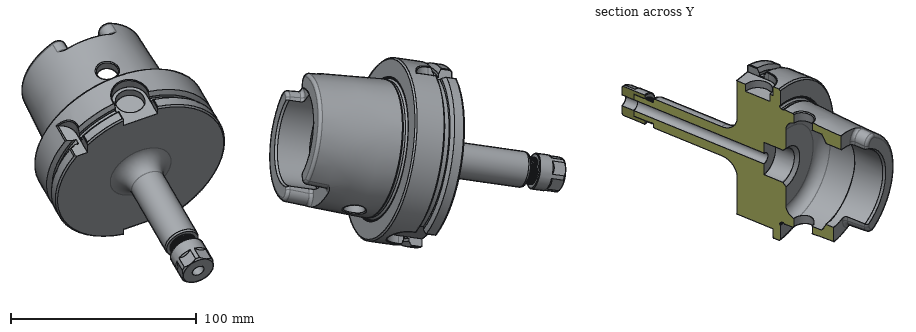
import cadquery as cq
import math

TOTAL_LENGTH = 155

TOLERANCE = 0.02

SHANK_LENGTH = 50.0
SHANK_END_RADIUS = 35.3
SHANK_BASE_RADIUS = 37.8
SHANK_END_ROUNDING = 1.9

RELIEF_LENGTH = 2.6
RELIEF_RADIUS = 37.4
RELIEF_FLOOR_START_X = -1.9
RELIEF_FLOOR_END_X = -0.6
FACE_RECESS_RADIUS = 39.5
FACE_RECESS_DEPTH = 0.5

FLANGE_RADIUS = 100.0 / 2
FLANGE_WIDTH = 29.0
FLANGE_CHAMFER = 1.0
GROOVE_CENTER_X = 19.7
GROOVE_FLOOR_RADIUS = 91.8 / 2
GROOVE_FLOOR_WIDTH = 3.1
GROOVE_TOP_WIDTH = 6.2
GROOVE_BEVEL_RADIUS = 47.5

NECK_RADIUS = 19.5 / 2
NECK_END_X = 84.2
NECK_FILLET_RADIUS = 9.9
NECK_FILLET_END_X = 38.8
NECK_CHAMFER_LENGTH = 1.2
NECK_CHAMFER_HEIGHT = 0.5
THREAD_CREST_RADIUS = 14.9 / 2
THREAD_ROOT_RADIUS = 13.8 / 2
THREAD_PITCH = 0.8
NOSE_END_X = 97.0

BORE_RADIUS = 53.0 / 2
BORE_CHAMFER = 0.8
BORE_CHAMFER_LENGTH = 1.4
BORE_LENGTH = 20.0
CHAMBER_RADIUS = 31.5
CHAMBER_END_X = -3.7
CHAMBER_FILLET = 6.5
SHOULDER_ANGLE = 60
SEAT_RADIUS = 21.0 / 2
SEAT_MOUTH_RADIUS = 25.1 / 2
SEAT_END_X = 10.8
COOLANT_RADIUS = 6.8 / 2

ACCESS_RADIUS = 12.0 / 2
ACCESS_X = -14.9
ACCESS_CHAMFER = 0.6

SLOT_WIDTH = 20.0
UPPER_SLOT_DEPTH = 9.9
LOWER_SLOT_DEPTH = 14.9
SLOT_CORNER_RADIUS = 5.0
SLOT_FLOOR_FILLET = 1.9

CUTTER_RADIUS = SLOT_WIDTH / 2
KEYWAY_CENTER_X = 15.0
KEYWAY_FLOOR_Z = 44.0
POCKET_CHAMFER = 0.5
CHIP_HOLE_RADIUS = 16.0 / 2
CHIP_HOLE_DEPTH = 4.6
NOTCH_WALL_Y = -31.3
NOTCH_FLOOR_Z = 31.6

NUT_START_X = 89.5
NUT_END_X = TOTAL_LENGTH - SHANK_LENGTH
NUT_RADIUS = NECK_RADIUS
NUT_START_CHAMFER = 0.5
NUT_END_CHAMFER = 1.0
HEX_START_X = 97.0
HEX_ACROSS_FLATS = 18.0
HEX_SIDES = 6
HEX_SHOULDER_ANGLE = 35


def turned(outline):
    """Solid of revolution about X from an outline of (x, radius) on the XY plane."""
    return outline.close().revolve(360, (0, 0, 0), (1, 0, 0))


def rod(start_x, end_x, radius):
    """Cylinder along the X axis."""
    return cq.Workplane("YZ", origin=(start_x, 0, 0)).circle(radius).extrude(end_x - start_x)


def half_turn(cutter):
    """The same cutter at the opposite side of the X axis."""
    return cutter.rotate((0, 0, 0), (1, 0, 0), 180)


def turned_body():
    """Outside of the holder from shank end to threaded nose."""
    fillet_angle = math.asin((NECK_FILLET_END_X - FLANGE_WIDTH) / NECK_FILLET_RADIUS)
    fillet_center_r = NECK_RADIUS + NECK_FILLET_RADIUS

    def fillet_point(angle):
        return (
            NECK_FILLET_END_X - NECK_FILLET_RADIUS * math.sin(angle),
            fillet_center_r - NECK_FILLET_RADIUS * math.cos(angle),
        )

    outline = (
        cq.Workplane("XY")
        .moveTo(-SHANK_LENGTH, 0)
        .lineTo(-SHANK_LENGTH, SHANK_END_RADIUS)
        .lineTo(-RELIEF_LENGTH, SHANK_BASE_RADIUS)
        .lineTo(RELIEF_FLOOR_START_X, RELIEF_RADIUS)
        .lineTo(RELIEF_FLOOR_END_X, RELIEF_RADIUS)
        .lineTo(FACE_RECESS_DEPTH, RELIEF_RADIUS + FACE_RECESS_DEPTH - RELIEF_FLOOR_END_X)
        .lineTo(FACE_RECESS_DEPTH, FACE_RECESS_RADIUS - FACE_RECESS_DEPTH)
        .lineTo(0, FACE_RECESS_RADIUS)
        .lineTo(0, FLANGE_RADIUS - FLANGE_CHAMFER)
        .lineTo(FLANGE_CHAMFER, FLANGE_RADIUS)
        .lineTo(FLANGE_WIDTH - FLANGE_CHAMFER, FLANGE_RADIUS)
        .lineTo(FLANGE_WIDTH, FLANGE_RADIUS - FLANGE_CHAMFER)
        .lineTo(*fillet_point(fillet_angle))
        .threePointArc(fillet_point(fillet_angle / 2), fillet_point(0))
        .lineTo(NECK_END_X - NECK_CHAMFER_LENGTH, NECK_RADIUS)
        .lineTo(NECK_END_X, NECK_RADIUS - NECK_CHAMFER_HEIGHT)
        .lineTo(NECK_END_X, THREAD_CREST_RADIUS)
        .lineTo(NOSE_END_X, THREAD_CREST_RADIUS)
        .lineTo(NOSE_END_X, 0)
    )
    return turned(outline)


def gripper_groove():
    """Ring cutter: straight-sided floor that opens into bevels at the rim."""
    floor_half = GROOVE_FLOOR_WIDTH / 2
    top_half = GROOVE_TOP_WIDTH / 2
    outline = (
        cq.Workplane("XY")
        .moveTo(GROOVE_CENTER_X - floor_half, GROOVE_FLOOR_RADIUS)
        .lineTo(GROOVE_CENTER_X - floor_half, GROOVE_BEVEL_RADIUS)
        .lineTo(GROOVE_CENTER_X - top_half, FLANGE_RADIUS)
        .lineTo(GROOVE_CENTER_X + top_half, FLANGE_RADIUS)
        .lineTo(GROOVE_CENTER_X + floor_half, GROOVE_BEVEL_RADIUS)
        .lineTo(GROOVE_CENTER_X + floor_half, GROOVE_FLOOR_RADIUS)
    )
    return turned(outline)


def clamping_bore():
    """Bore, wider clamping chamber behind it, coolant seat and coolant hole as one cutter."""
    shank_end_x = -SHANK_LENGTH
    shoulder_x = shank_end_x + BORE_LENGTH
    shoulder_length = (CHAMBER_RADIUS - BORE_RADIUS) / math.tan(math.radians(SHOULDER_ANGLE))
    fillet_center = (CHAMBER_END_X - CHAMBER_FILLET, CHAMBER_RADIUS - CHAMBER_FILLET)
    fillet_middle = CHAMBER_FILLET * math.sqrt(0.5)
    outline = (
        cq.Workplane("XY")
        .moveTo(shank_end_x, 0)
        .lineTo(shank_end_x, BORE_RADIUS + BORE_CHAMFER)
        .lineTo(shank_end_x + BORE_CHAMFER_LENGTH, BORE_RADIUS)
        .lineTo(shoulder_x, BORE_RADIUS)
        .lineTo(shoulder_x + shoulder_length, CHAMBER_RADIUS)
        .lineTo(fillet_center[0], CHAMBER_RADIUS)
        .threePointArc(
            (fillet_center[0] + fillet_middle, fillet_center[1] + fillet_middle),
            (CHAMBER_END_X, fillet_center[1]),
        )
        .lineTo(CHAMBER_END_X, SEAT_MOUTH_RADIUS)
        .lineTo(CHAMBER_END_X + SEAT_MOUTH_RADIUS - SEAT_RADIUS, SEAT_RADIUS)
        .lineTo(SEAT_END_X, SEAT_RADIUS)
        .lineTo(SEAT_END_X, COOLANT_RADIUS)
        .lineTo(NOSE_END_X, COOLANT_RADIUS)
        .lineTo(NOSE_END_X, 0)
    )
    return turned(outline)


def driving_slot(depth):
    """Slot cutter at the +Z side of the shank end."""
    base = cq.Workplane("XY", origin=(-SHANK_LENGTH, 0, 0))
    return base.box(depth, SLOT_WIDTH, FLANGE_RADIUS, centered=(False, True, False))


def centers_within(low, high):
    """Selector for edges whose centres lie in the box between two corners."""
    return cq.selectors.BoxSelector(low, high)


def cut_slot(shank, depth, side):
    """Mill a driving slot on the +Z side (side = 1) or -Z side (side = -1) and round its edges."""
    slot = driving_slot(depth)
    if side < 0:
        slot = half_turn(slot)
    shank = shank.cut(slot)
    floor_x = -SHANK_LENGTH + depth
    corner_z = side * SHANK_BASE_RADIUS
    wall_top_z = side * (SHANK_END_RADIUS - SLOT_CORNER_RADIUS / 2)
    corners = centers_within(
        (-SHANK_LENGTH + TOLERANCE, -SLOT_WIDTH, wall_top_z),
        (floor_x - TOLERANCE, SLOT_WIDTH, corner_z),
    )
    shank = shank.edges(corners).fillet(SLOT_CORNER_RADIUS)
    for wall_side in (-1, 1):
        wall_foot = centers_within(
            (floor_x - TOLERANCE, wall_side * TOLERANCE, side * TOLERANCE),
            (floor_x + TOLERANCE, wall_side * SLOT_WIDTH, wall_top_z),
        )
        shank = shank.edges(wall_foot).fillet(SLOT_FLOOR_FILLET)
    return shank


def keyway():
    """Round-ended keyway cutter at the +Z side of the flange, open at the +X face."""
    plate_height = FLANGE_RADIUS - KEYWAY_FLOOR_Z
    base = cq.Workplane("XY", origin=(0, 0, KEYWAY_FLOOR_Z))
    round_end = base.center(KEYWAY_CENTER_X, 0).circle(CUTTER_RADIUS).extrude(plate_height)
    length = FLANGE_WIDTH - KEYWAY_CENTER_X
    passage = base.center(KEYWAY_CENTER_X, -CUTTER_RADIUS).rect(length, SLOT_WIDTH, centered=False)
    return round_end.union(passage.extrude(plate_height))


def corner_notch():
    """Notch cutter at the -Y, +Z corner of the flange, with a vertical wall and a flat floor."""
    height = FLANGE_RADIUS - NOTCH_FLOOR_Z
    center_y = NOTCH_WALL_Y - CUTTER_RADIUS
    base = cq.Workplane("XY", origin=(KEYWAY_CENTER_X, center_y, NOTCH_FLOOR_Z))
    round_end = base.circle(CUTTER_RADIUS).extrude(height)
    length = FLANGE_WIDTH - KEYWAY_CENTER_X
    passage = base.center(0, -CUTTER_RADIUS).rect(length, SLOT_WIDTH, centered=False)
    return round_end.union(passage.extrude(height))


def is_pocket_rim(edge):
    """True for an edge where a keyway or the notch meets the cylindrical flange rim."""
    radii = [math.hypot(point.y, point.z) for point in edge.positions([0, 0.5, 1])]
    on_cylinder = all(abs(radius - FLANGE_RADIUS) < TOLERANCE for radius in radii)
    between_ends = 2 * FLANGE_CHAMFER < edge.Center().x < FLANGE_WIDTH - 2 * FLANGE_CHAMFER
    off_seam = abs(edge.Center().z) > NOTCH_FLOOR_Z / 2
    return on_cylinder and between_ends and off_seam


def cut_flange_pockets(holder):
    """Cut both keyways and the corner notch, and chamfer their edges on the flange rim."""
    holder = holder.cut(keyway()).cut(half_turn(keyway())).cut(corner_notch())
    return holder.edges().filter(is_pocket_rim).chamfer(POCKET_CHAMFER)


def chip_hole():
    """Blind hole in the floor of the upper keyway."""
    base = cq.Workplane("XY", origin=(KEYWAY_CENTER_X, 0, KEYWAY_FLOOR_Z - CHIP_HOLE_DEPTH))
    return base.circle(CHIP_HOLE_RADIUS).extrude(CHIP_HOLE_DEPTH)


def drill_access_hole(shank):
    """Drill through both sides of the solid shank along Z and chamfer both mouths."""
    base = cq.Workplane("XY", origin=(ACCESS_X, 0, 0))
    shank = shank.cut(base.circle(ACCESS_RADIUS).extrude(FLANGE_RADIUS, both=True))
    for side in (-1, 1):
        mouth = centers_within(
            (ACCESS_X - TOLERANCE, -TOLERANCE, side * BORE_RADIUS),
            (ACCESS_X + TOLERANCE, TOLERANCE, side * SHANK_BASE_RADIUS),
        )
        shank = shank.edges(mouth).chamfer(ACCESS_CHAMFER)
    return shank


def thread_grooves(start_x, end_x):
    """Ring cutter with one V-shaped groove per thread pitch."""
    count = int((end_x - start_x) / THREAD_PITCH)
    outline = cq.Workplane("XY").moveTo(start_x, THREAD_CREST_RADIUS)
    for turn in range(count):
        groove_x = start_x + turn * THREAD_PITCH
        outline = outline.lineTo(groove_x + THREAD_PITCH / 2, THREAD_ROOT_RADIUS)
        outline = outline.lineTo(groove_x + THREAD_PITCH, THREAD_CREST_RADIUS)
    outline = outline.lineTo(start_x + count * THREAD_PITCH, NECK_RADIUS).lineTo(start_x, NECK_RADIUS)
    return turned(outline)


def holder_body():
    """Tool holder; the end faces are rounded while the shank is still solid."""
    holder = cut_slot(turned_body(), UPPER_SLOT_DEPTH, 1)
    holder = cut_slot(holder, LOWER_SLOT_DEPTH, -1)
    holder = holder.faces("<X").edges().fillet(SHANK_END_ROUNDING)
    holder = drill_access_hole(holder).cut(clamping_bore())
    holder = cut_flange_pockets(holder)
    holder = holder.cut(gripper_groove()).cut(chip_hole())
    return holder.cut(thread_grooves(NECK_END_X, NUT_START_X))


def hex_head_cutter():
    """Stock to remove around the hexagon, with a conical shoulder towards the round body."""
    length = NUT_END_X - HEX_START_X
    ring = rod(HEX_START_X, NUT_END_X, 2 * NUT_RADIUS)
    half_side_angle = 180 / HEX_SIDES
    corner_diameter = HEX_ACROSS_FLATS / math.cos(math.radians(half_side_angle))
    head = cq.Workplane("YZ", origin=(HEX_START_X, 0, 0)).transformed(rotate=(0, 0, half_side_angle))
    head = head.polygon(HEX_SIDES, corner_diameter).extrude(length)
    cone_length = NUT_RADIUS / math.tan(math.radians(HEX_SHOULDER_ANGLE))
    shoulder = cq.Workplane("XY").moveTo(HEX_START_X, 0).lineTo(HEX_START_X, NUT_RADIUS)
    shoulder = turned(shoulder.lineTo(HEX_START_X + cone_length, 0))
    return ring.cut(head).cut(shoulder)


def clamping_nut():
    """Nut with a blind socket for the threaded nose and the coolant hole in its end wall."""
    nut = rod(NUT_START_X, NUT_END_X, NUT_RADIUS)
    nut = nut.faces("<X").chamfer(NUT_START_CHAMFER)
    nut = nut.faces(">X").chamfer(NUT_END_CHAMFER)
    nut = nut.cut(hex_head_cutter())
    socket = rod(NUT_START_X, NOSE_END_X, THREAD_CREST_RADIUS)
    coolant_hole = rod(NOSE_END_X, NUT_END_X, COOLANT_RADIUS)
    return nut.cut(socket).cut(coolant_hole)


holder = holder_body()
nut = clamping_nut()
result = cq.Compound.makeCompound([holder.val(), nut.val()])